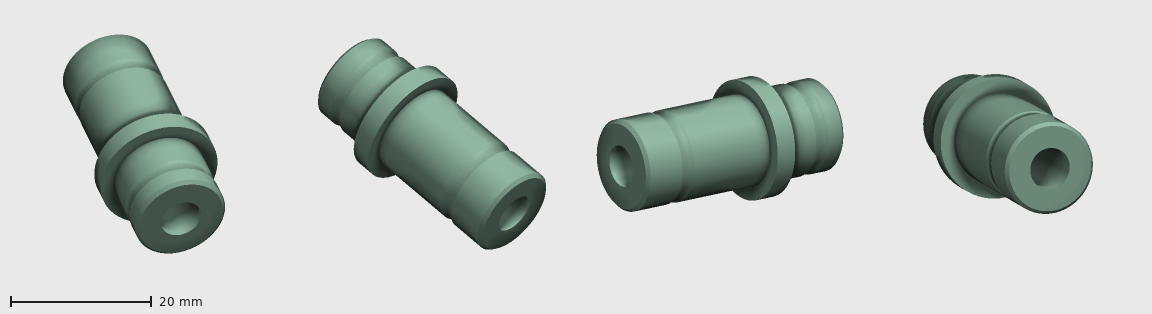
import cadquery as cq
import math

length = 34.0
long_end_diameter = 13.4
short_end_diameter = 13.5
bore_diameter = 6.0
flange_diameter = 17.5
flange_start = 21.0
flange_width = 3.0
end_chamfer = 0.5
groove_width = 2.0
groove_arc_radius = 2.0
long_end_groove_center = 7.0
short_end_groove_center = 30.0

flange_end = flange_start + flange_width
groove_depth = groove_arc_radius - math.sqrt(groove_arc_radius**2 - (groove_width / 2) ** 2)


def cylinder_along_x(diameter, start, end):
    """Solid cylinder on the X axis from X = start to X = end."""
    return cq.Workplane("YZ", origin=(start, 0, 0)).circle(diameter / 2).extrude(end - start)


def groove_ring(center, diameter):
    """Ring that cuts a shallow arc-bottomed groove centred at X = center."""
    surface_radius = diameter / 2
    return (
        cq.Workplane("XY")
        .moveTo(center - groove_width / 2, surface_radius)
        .threePointArc(
            (center, surface_radius - groove_depth),
            (center + groove_width / 2, surface_radius),
        )
        .lineTo(center + groove_width / 2, flange_diameter / 2)
        .lineTo(center - groove_width / 2, flange_diameter / 2)
        .close()
        .revolve(360, (0, 0, 0), (1, 0, 0))
    )


long_end = cylinder_along_x(long_end_diameter, 0, flange_start)
long_end = long_end.faces("<X").edges().chamfer(end_chamfer)
long_end = long_end.cut(groove_ring(long_end_groove_center, long_end_diameter))

short_end = cylinder_along_x(short_end_diameter, flange_end, length)
short_end = short_end.faces(">X").edges().chamfer(end_chamfer)
short_end = short_end.cut(groove_ring(short_end_groove_center, short_end_diameter))

flange = cylinder_along_x(flange_diameter, flange_start, flange_end)
bore = cylinder_along_x(bore_diameter, 0, length)

result = long_end.union(flange).union(short_end).cut(bore)